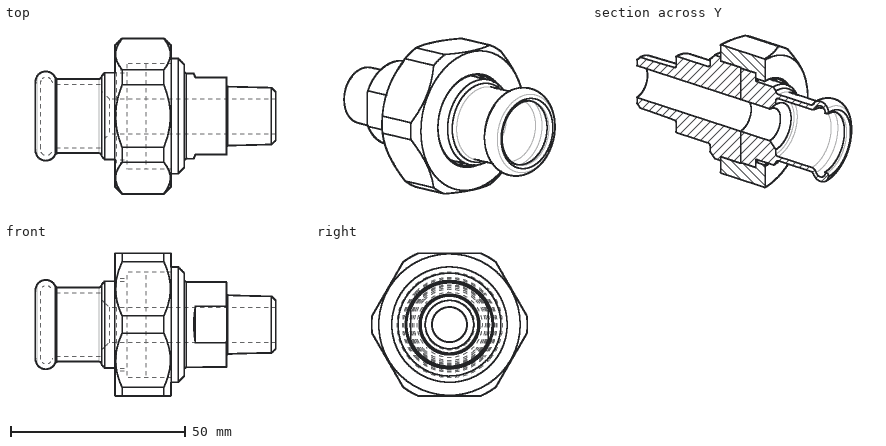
import cadquery as cq
import math


total_length = 69.0
bore_radius = 10.0 / 2
thread_radius = 30.3 / 2

nut_start = 22.85
nut_end = 39.0
nut_across_flats = 41.0
nut_corner_radius = 44.7 / 2
nut_chamfer = 2.1
nut_lip = 3.4
nut_opening_radius = 26.5 / 2
nut_opening_chamfer = 0.35
lip_inner_face = nut_start + nut_lip
sealing_face = 31.75

bead_center_x = 3.0
bead_top_radius = 12.8
bead_front = (0.5, 11.4)
bead_back = (5.7, 11.1)
mouth_rim_radius = 10.2
mouth_radius = 18.7 / 2
mouth_round = mouth_rim_radius - mouth_radius
neck_start = 6.2
neck_radius = 21.3 / 2
collar_start = 19.05
collar_radius = 25.0 / 2
collar_chamfer_length = 0.9
neck_fillet = 0.8

mouth_land_end = 1.5
groove_radius = 11.25
groove_back = (4.6, 10.2)
groove_blend_mid = (5.25, 9.45)
socket_radius = 18.3 / 2
socket_end = collar_start
socket_fillet = (18.3 - 17.0) / 2
funnel_radius = 7.2
funnel_length = funnel_radius - bore_radius

shoulder_radius = 33.1 / 2
shoulder_chamfer_radius = 29.5 / 2
shoulder_end = 42.8
shoulder_chamfer = shoulder_radius - shoulder_chamfer_radius
barrel_radius = 24.5 / 2
barrel_end = 55.0
barrel_end_chamfer = 0.3
root_taper_length = 0.5
root_taper_height = 0.4
flat_start = 45.95
flat_ramp = 0.5
across_wrench_flats = 22.15
pipe_thread_root_radius = 8.7
pipe_thread_start = 55.3
pipe_thread_start_radius = 17.0 / 2
pipe_thread_tip_radius = 16.35 / 2
pipe_thread_chamfer = 1.25

HALF_ARC = math.sqrt(0.5)


def revolve_about_x(profile):
    """Turn a closed (x, radius) profile about the X axis."""
    return profile.close().revolve(360, (0, 0, 0), (1, 0, 0))


def make_tailpiece():
    neck_fillet_mid = (
        collar_start - neck_fillet * (1 - HALF_ARC),
        neck_radius + neck_fillet * (1 - HALF_ARC),
    )
    socket_fillet_mid = (
        socket_end - socket_fillet * (1 - HALF_ARC),
        socket_radius - socket_fillet * (1 - HALF_ARC),
    )
    mouth_round_mid = (
        mouth_round * (1 - HALF_ARC),
        mouth_rim_radius - mouth_round * HALF_ARC,
    )
    outside = (
        cq.Workplane("XY")
        .moveTo(0, mouth_rim_radius)
        .lineTo(*bead_front)
        .threePointArc((bead_center_x, bead_top_radius), bead_back)
        .lineTo(neck_start, neck_radius)
        .lineTo(collar_start - neck_fillet, neck_radius)
        .threePointArc(neck_fillet_mid, (collar_start, neck_radius + neck_fillet))
        .lineTo(collar_start + collar_chamfer_length, collar_radius)
        .lineTo(lip_inner_face, collar_radius)
        .lineTo(lip_inner_face, thread_radius)
        .lineTo(sealing_face, thread_radius)
    )
    profile = (
        outside
        .lineTo(sealing_face, bore_radius)
        .lineTo(socket_end + funnel_length, bore_radius)
        .lineTo(socket_end, funnel_radius)
        .lineTo(socket_end, socket_radius - socket_fillet)
        .threePointArc(socket_fillet_mid, (socket_end - socket_fillet, socket_radius))
        .lineTo(neck_start, socket_radius)
        .threePointArc(groove_blend_mid, groove_back)
        .threePointArc((bead_center_x, groove_radius), (mouth_land_end, mouth_radius))
        .lineTo(mouth_round, mouth_radius)
        .threePointArc(mouth_round_mid, (0, mouth_rim_radius))
    )
    return revolve_about_x(profile)


def make_nut():
    hexagon_diameter = nut_across_flats / math.cos(math.pi / 6)
    hexagon = (
        cq.Workplane("YZ", origin=(nut_start, 0, 0))
        .polygon(6, hexagon_diameter)
        .extrude(nut_end - nut_start)
    )
    corner_turning = (
        cq.Workplane("YZ", origin=(nut_start, 0, 0))
        .circle(nut_corner_radius)
        .extrude(nut_end - nut_start)
        .edges()
        .chamfer(nut_chamfer)
    )
    opening = revolve_about_x(
        cq.Workplane("XY")
        .moveTo(nut_start, 0)
        .lineTo(nut_start, nut_opening_radius + nut_opening_chamfer)
        .lineTo(nut_start + nut_opening_chamfer, nut_opening_radius)
        .lineTo(lip_inner_face, nut_opening_radius)
        .lineTo(lip_inner_face, thread_radius)
        .lineTo(nut_end, thread_radius)
        .lineTo(nut_end, 0)
    )
    return hexagon.intersect(corner_turning).cut(opening)


def make_wrench_flat(side):
    """Cutter for one wrench flat, on the +Y (side = 1) or -Y (side = -1) face."""
    flat_y = across_wrench_flats / 2
    return (
        cq.Workplane("XY", origin=(0, 0, -barrel_radius))
        .moveTo(flat_start, side * flat_y)
        .lineTo(barrel_end, side * flat_y)
        .lineTo(barrel_end, side * barrel_radius)
        .lineTo(flat_start - flat_ramp, side * barrel_radius)
        .close()
        .extrude(2 * barrel_radius)
    )


def make_threaded_body():
    body = revolve_about_x(
        cq.Workplane("XY")
        .moveTo(sealing_face, bore_radius)
        .lineTo(sealing_face, thread_radius)
        .lineTo(nut_end, thread_radius)
        .lineTo(nut_end, shoulder_radius)
        .lineTo(shoulder_end - shoulder_chamfer, shoulder_radius)
        .lineTo(shoulder_end, shoulder_chamfer_radius)
        .lineTo(shoulder_end, barrel_radius + root_taper_height)
        .lineTo(shoulder_end + root_taper_length, barrel_radius)
        .lineTo(barrel_end - barrel_end_chamfer, barrel_radius)
        .lineTo(barrel_end, barrel_radius - barrel_end_chamfer)
        .lineTo(barrel_end, pipe_thread_root_radius)
        .lineTo(pipe_thread_start, pipe_thread_start_radius)
        .lineTo(total_length - pipe_thread_chamfer, pipe_thread_tip_radius)
        .lineTo(total_length, pipe_thread_tip_radius - pipe_thread_chamfer)
        .lineTo(total_length, bore_radius)
    )
    for side in (-1, 1):
        body = body.cut(make_wrench_flat(side))
    return body


tailpiece = make_tailpiece()
nut = make_nut()
threaded_body = make_threaded_body()

result = cq.Compound.makeCompound([tailpiece.val(), nut.val(), threaded_body.val()])